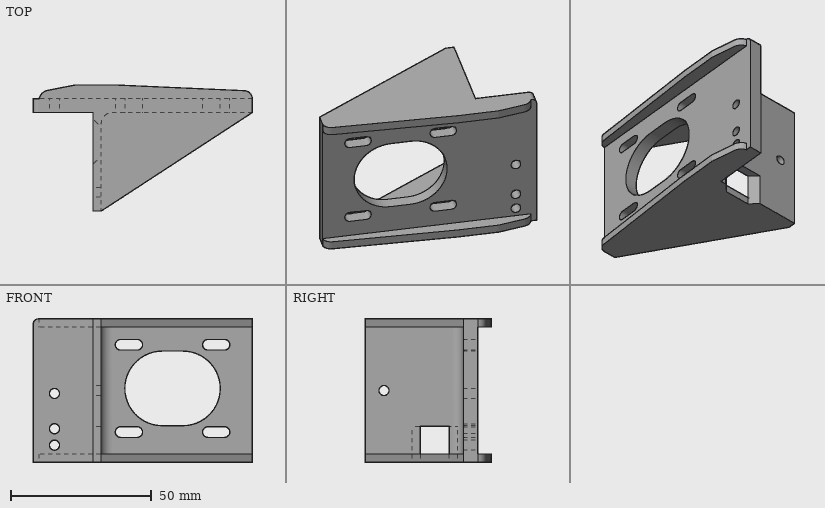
import cadquery as cq

length = 77.89
height = 51.0
wall_thickness = 3.0
side_thickness = 3.0
plate_thickness = 5.0
wall_depth = 35.0
back_rise = 9.83

left_x = -21.2
right_x = left_x + length
corner_radius = 2.0
corner_fillet = 3.9

side_left_x = left_x + corner_radius
left_shoulder_y = 7.3
crown_left_x = -6.25
crown_right_x = 8.4
right_shoulder_y = 7.69
left_shoulder_radius = 4.0
right_shoulder_radius = 3.0

screw_diameter = 3.5
flange_hole_x = -13.6
flange_hole_heights = (6.1, 11.95, 24.45)
wall_hole_y = -28.3

motor_x = 28.33
motor_z = 26.25
motor_hole_pitch = 31.0
slot_length = 9.6
slot_width = 3.7
bore_diameter = 26.4
bore_travel = 7.4

window_center_y = -10.3
window_inner_width = 10.2
window_height = 12.8


def make_back_plate():
    """Back plate with its upper left corner rounded."""
    plate = cq.Workplane("XY").box(length, plate_thickness, height, centered=False)
    plate = plate.translate((left_x, 0, 0))
    return plate.edges("|Y and <X and >Z").fillet(corner_radius)


def make_wall():
    """Upright wall standing forward of the back plate."""
    wall = cq.Workplane("XY").box(wall_thickness, wall_depth, height, centered=False)
    return wall.translate((0, -wall_depth, 0))


def make_side_plate(bottom_z):
    """Side plate that ties the wall to the back plate."""
    plate = (
        cq.Workplane("XY")
        .workplane(offset=bottom_z)
        .moveTo(0, 0)
        .lineTo(side_left_x, 0)
        .lineTo(side_left_x, left_shoulder_y)
        .lineTo(crown_left_x, back_rise)
        .lineTo(crown_right_x, back_rise)
        .lineTo(right_x, right_shoulder_y)
        .lineTo(right_x, 0)
        .lineTo(wall_thickness, -wall_depth)
        .lineTo(0, -wall_depth)
        .close()
        .extrude(side_thickness)
    )
    plate = plate.edges("|Z and <X").edges(">Y").fillet(left_shoulder_radius)
    return plate.edges("|Z and >X").edges(">Y").fillet(right_shoulder_radius)


def make_corner_fillet():
    """Concave fillet between the wall and the back plate, from side plate to side plate."""
    return (
        cq.Workplane("XY")
        .workplane(offset=side_thickness)
        .moveTo(wall_thickness, 0)
        .lineTo(wall_thickness, -corner_fillet)
        .radiusArc((wall_thickness + corner_fillet, 0), corner_fillet)
        .close()
        .extrude(height - 2 * side_thickness)
    )


def through_plate(sketch):
    """Extrude a sketch on the front face through the back plate."""
    return sketch.extrude(-plate_thickness)


def front_face(points):
    """Workplane on the front face of the back plate, holding (x, z) points."""
    return cq.Workplane("XZ").pushPoints(points)


def make_window():
    """Window through the wall, flared at 45 degrees toward its outer face."""
    half_inner = window_inner_width / 2
    half_outer = half_inner + wall_thickness
    return (
        cq.Workplane("XY")
        .moveTo(0, window_center_y - half_outer)
        .lineTo(wall_thickness, window_center_y - half_inner)
        .lineTo(wall_thickness, window_center_y + half_inner)
        .lineTo(0, window_center_y + half_outer)
        .close()
        .extrude(window_height)
    )


def make_wall_hole():
    """Screw hole through the wall at mid height."""
    hole = cq.Workplane("YZ").center(wall_hole_y, height / 2)
    return hole.circle(screw_diameter / 2).extrude(wall_thickness)


flange_points = [(flange_hole_x, z) for z in flange_hole_heights]
half_pitch = motor_hole_pitch / 2
motor_points = [
    (motor_x + sign_x * half_pitch, motor_z + sign_z * half_pitch)
    for sign_x in (-1, 1)
    for sign_z in (-1, 1)
]

flange_holes = through_plate(front_face(flange_points).circle(screw_diameter / 2))
motor_slots = through_plate(front_face(motor_points).slot2D(slot_length, slot_width))
motor_bore = through_plate(
    front_face([(motor_x, motor_z)]).slot2D(bore_diameter + bore_travel, bore_diameter)
)

result = make_back_plate().union(make_wall()).union(make_corner_fillet())
for bottom_z in (0, height - side_thickness):
    result = result.union(make_side_plate(bottom_z))
for opening in (flange_holes, motor_slots, motor_bore, make_window(), make_wall_hole()):
    result = result.cut(opening)